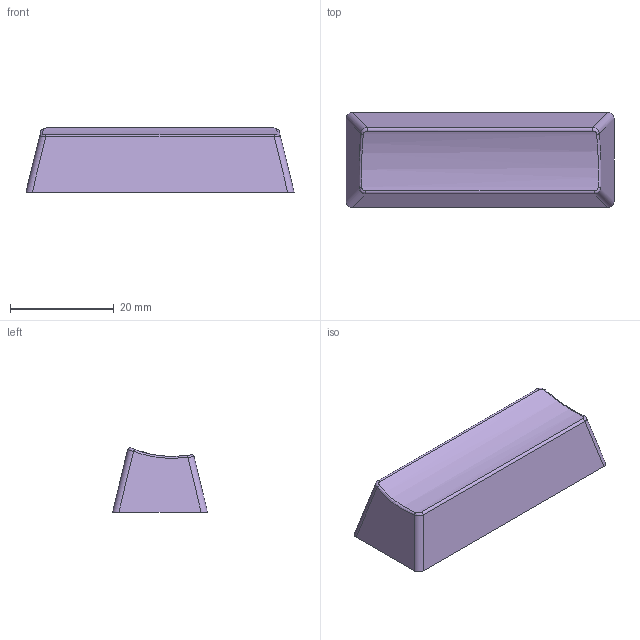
import cadquery as cq

BASE_LENGTH = 51.64
BASE_WIDTH = 18.3
WALL_DRAFT = 13.7

DISH_RADIUS = 20.3
DISH_CENTRE_Y = -2.4
DISH_LOW_Z = 10.7

CORNER_RADIUS = 1.25
RIM_RADIUS = 0.5

BLANK_HEIGHT = 15.0


def make_blank():
    """Tapered block with rounded slanted corner edges."""
    blank = cq.Workplane("XY").rect(BASE_LENGTH, BASE_WIDTH).extrude(BLANK_HEIGHT, taper=WALL_DRAFT)
    return blank.edges("not(#Z)").fillet(CORNER_RADIUS)


def make_dish_cutter():
    """Cylinder along X, longer than the top, that scoops out the dish."""
    return (
        cq.Workplane("YZ", origin=(-BASE_LENGTH / 2, 0, 0))
        .center(DISH_CENTRE_Y, DISH_LOW_Z + DISH_RADIUS)
        .circle(DISH_RADIUS)
        .extrude(BASE_LENGTH)
    )


def round_rim(body):
    """Round the closed rim where the dish meets the side walls."""
    dish_face = body.faces(cq.selectors.NearestToPointSelector((0, DISH_CENTRE_Y, DISH_LOW_Z)))
    return dish_face.edges().fillet(RIM_RADIUS)


result = round_rim(make_blank().cut(make_dish_cutter()))